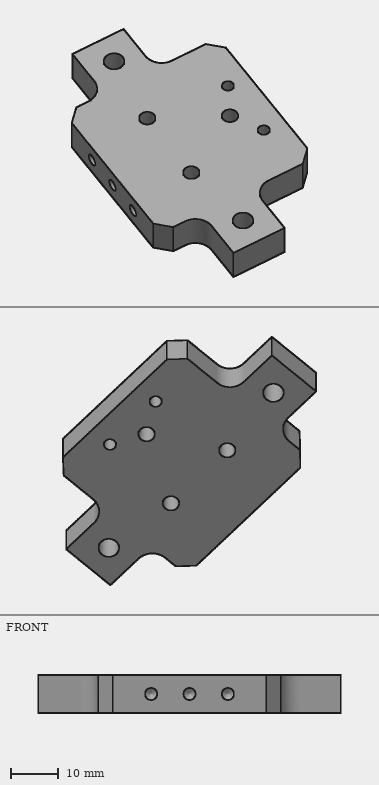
import cadquery as cq
import math

length = 63.25
body_size = 38.1
thickness = 8.0
corner_chamfer = 3.05

arm_width = 12.65
arm_y = -2.7
arm_fillet = 4.0
selection_margin = 0.65
arm_hole_diameter = 4.3
arm_hole_x = (length - arm_width) / 2

circle_radius = 10.0
circle_hole_diameter = 3.4
circle_hole_count = 3

pin_diameter = 2.5
pin_x = 7.0
pin_y = 13.9

side_hole_diameter = 2.5
side_hole_spacing = 8.0
side_hole_depth = 7.6
drill_point_angle = 118.0


def make_plate():
    """Chamfered square body with an arm across it, filleted where they meet."""
    body = cq.Workplane("XY").box(body_size, body_size, thickness)
    body = body.edges("|Z").chamfer(corner_chamfer)
    arms = cq.Workplane("XY").box(length, arm_width, thickness).translate((0, arm_y, 0))
    plate = body.union(arms)
    reach = arm_width / 2 + selection_margin
    for side in (-1, 1):
        x = side * body_size / 2
        inner_corners = cq.selectors.BoxSelector(
            (x - selection_margin, arm_y - reach, -thickness), (x + selection_margin, arm_y + reach, thickness)
        )
        plate = plate.edges("|Z").edges(inner_corners).fillet(arm_fillet)
    return plate


def through_holes(points, diameter):
    """Vertical cutters through the full thickness."""
    return cq.Workplane("XY").pushPoints(points).circle(diameter / 2).extrude(thickness, both=True)


def side_hole(x):
    """Blind drill cutter with a conical tip, entering the -Y face at mid thickness."""
    radius = side_hole_diameter / 2
    tip = radius / math.tan(math.radians(drill_point_angle / 2))
    profile = (
        cq.Workplane("XY")
        .polyline([(0, 0), (radius, 0), (radius, side_hole_depth), (0, side_hole_depth + tip)])
        .close()
    )
    cutter = profile.revolve(360, (0, 0, 0), (0, 1, 0))
    return cutter.translate((x, -body_size / 2, 0))


circle_points = []
for index in range(circle_hole_count):
    angle = math.radians(90 + index * 360 / circle_hole_count)
    circle_points.append((circle_radius * math.cos(angle), circle_radius * math.sin(angle)))

result = make_plate()
result = result.cut(through_holes([(-arm_hole_x, arm_y), (arm_hole_x, arm_y)], arm_hole_diameter))
result = result.cut(through_holes(circle_points, circle_hole_diameter))
result = result.cut(through_holes([(-pin_x, pin_y), (pin_x, pin_y)], pin_diameter))
for x in (-side_hole_spacing, 0, side_hole_spacing):
    result = result.cut(side_hole(x))